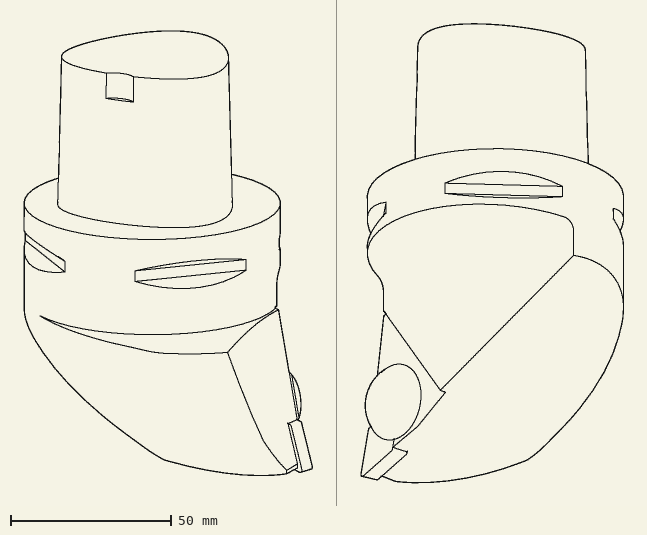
import cadquery as cq
import math


shank_height = 48.0
shank_base_radius = 27.3
shank_taper = 0.025
lobe_offset = 2.3
shank_outline_points = 36
keyway_width = 9.6
keyway_depth = 1.9
keyway_height = 8.2

flange_radius = 80.0 / 2
flange_height = 31.0
groove_center_z = -12.0
groove_floor_width = 3.5
groove_mouth_width = 8.8
groove_depth = 4.5
groove_angles = [45, 135, 225, 315]

relief_y = 8.0
relief_start_z = -20.7
relief_slope = 5
relief_fillet = 4.0

tip = cq.Vector(55.5, 0.3, -80.4)
top_cone_angle = 15.5
side_angle = 13.8
side_start_x = 40.6
heel_angle = 29.4
heel_corner = (28.9, -70.9)
clearance_angle = 17
clearance_tilt = 1.3
seat_side_slope = 18
seat_side_start = (49.0, -65.3)
swell_start = (-24.7, -31.4)
swell_left_end = (-21.8, -33.8)
swell_left_mid = (-7.2, -41.7)
swell_depth = 45.2
swell_flat = (12.2, 18.3)
swell_corner_mid = (22.9, -44.7)
swell_corner_end = (26.5, -43.4)
swell_right_mid = (42.1, -32.1)
swell_right_end = (52.7, -13.5)
far = 256

insert_edge = 15.9
insert_angle = 52
insert_thickness = 6.4
nose_radius = 0.8
rake_normal = cq.Vector(0.0975, 1, -0.0925)
rake_wall = [(15.4, -64), (39.0, -30.7)]

dome_center = (38.4, -60.2)
dome_radius = 12.0
dome_height = 7.4
dome_overhang = 0.8

diagonal = cq.Vector(-math.sqrt(0.5), 0, math.sqrt(0.5))
diagonal = diagonal - rake_normal * (diagonal.dot(rake_normal) / rake_normal.dot(rake_normal))
rake_plane = cq.Plane(origin=tip, xDir=diagonal, normal=rake_normal)


def shank_wire(radius, z):
    """Closed three-lobed outline with one lobe toward +Y."""
    points = []
    for i in range(shank_outline_points):
        t = 2 * math.pi * i / shank_outline_points
        x = radius * math.sin(t) - lobe_offset * math.sin(2 * t)
        y = radius * math.cos(t) + lobe_offset * math.cos(2 * t)
        points.append(cq.Vector(x, y, z))
    return cq.Wire.assembleEdges([cq.Edge.makeSpline(points, periodic=True)])


def make_shank():
    top_radius = shank_base_radius - shank_taper * shank_height
    base = shank_wire(shank_base_radius, 0)
    top = shank_wire(top_radius, shank_height)
    shank = cq.Workplane(cq.Solid.makeLoft([base, top]))
    key_radius = ((keyway_width / 2) ** 2 + keyway_depth ** 2) / (2 * keyway_depth)
    key_y = -(top_radius - lobe_offset) + keyway_depth - key_radius
    keyway = (
        cq.Workplane("XY", origin=(0, key_y, shank_height - keyway_height))
        .circle(key_radius)
        .extrude(keyway_height)
    )
    return shank.cut(keyway)


def make_groove(angle):
    """Straight groove with sloping flanks, cut across the flange rim."""
    floor = flange_radius - groove_depth
    mouth = floor + 2 * groove_depth
    floor_half = groove_floor_width / 2
    mouth_half = groove_mouth_width - floor_half
    profile = [
        (floor, groove_center_z - floor_half),
        (mouth, groove_center_z - mouth_half),
        (mouth, groove_center_z + mouth_half),
        (floor, groove_center_z + floor_half),
    ]
    groove = cq.Workplane("XZ").polyline(profile).close().extrude(flange_radius, both=True)
    return groove.rotate((0, 0, 0), (0, 0, 1), angle)


def make_flange():
    flange = cq.Workplane("XY").circle(flange_radius).extrude(-flange_height)
    for angle in groove_angles:
        flange = flange.cut(make_groove(angle))
    return flange


def head_outline():
    """Plan of the head: the flange circle swollen toward -Y and the tip."""
    swell = (
        cq.Workplane("XY", origin=(0, 0, -flange_height))
        .moveTo(0, 0)
        .lineTo(*swell_start)
        .lineTo(*swell_left_end)
        .threePointArc(swell_left_mid, (swell_flat[0], -swell_depth))
        .lineTo(swell_flat[1], -swell_depth)
        .threePointArc(swell_corner_mid, swell_corner_end)
        .threePointArc(swell_right_mid, swell_right_end)
        .lineTo(swell_right_end[0], relief_y)
        .lineTo(0, relief_y)
        .close()
        .extrude(-far)
    )
    core = cq.Workplane("XY", origin=(0, 0, -flange_height)).circle(flange_radius).extrude(-far)
    return core.union(swell)


def head_side_profile():
    """X-Z silhouette of the head, extruded along Y."""
    seat_x, seat_z = seat_side_start
    corner_x, corner_z = heel_corner
    side = math.tan(math.radians(seat_side_slope))
    fall = math.tan(math.radians(clearance_angle))
    base_z = (corner_z - fall * (seat_x + side * seat_z - corner_x)) / (1 - fall * side)
    base_x = seat_x + side * (seat_z - base_z)
    heel_z = corner_z + (corner_x + flange_radius) * math.tan(math.radians(heel_angle))
    kink_x = side_start_x + (-flange_height - seat_z) * math.tan(math.radians(side_angle))
    points = [
        (-flange_radius, -flange_height),
        (-flange_radius, heel_z),
        heel_corner,
        (base_x, base_z),
        (kink_x, seat_z),
        (side_start_x, -flange_height),
    ]
    return cq.Workplane("XZ").polyline(points).close().extrude(far, both=True)


def make_clearance_relief():
    """Space under the front clearance face, which rises toward -Y."""
    corner_x, corner_z = heel_corner
    under = cq.Workplane("XY").rect(far, far).extrude(-far)
    under = under.rotate((0, 0, 0), (1, 0, 0), -clearance_tilt)
    under = under.rotate((0, 0, 0), (0, 1, 0), clearance_angle)
    return under.translate((corner_x, 0, corner_z))


def make_head():
    drop = (far - flange_radius) * math.tan(math.radians(top_cone_angle))
    cone_profile = [
        (0, -flange_height),
        (flange_radius, -flange_height),
        (far, -flange_height - drop),
        (0, -flange_height - drop),
    ]
    cone = cq.Workplane("XZ").polyline(cone_profile).close().revolve(360, (0, 0), (0, 1))
    head = head_outline().intersect(head_side_profile()).intersect(cone)
    return head.cut(make_clearance_relief())


def make_relief():
    """Space in front of the +Y face, with a sloping roof and a rounded inner corner."""
    roof_rise = (far - relief_y) * math.tan(math.radians(relief_slope))
    profile = [
        (relief_y, -far),
        (relief_y, relief_start_z),
        (far, relief_start_z + roof_rise),
        (far, -far),
    ]
    relief = cq.Workplane("YZ").polyline(profile).close().extrude(far, both=True)
    corner = cq.selectors.NearestToPointSelector((0, relief_y, relief_start_z))
    return relief.edges(corner).fillet(relief_fillet)


def make_rake_relief():
    """Space above the rake plane, on the tip side of the step."""
    above = cq.Workplane(rake_plane).rect(far, far).extrude(far)
    (low_x, low_z), (high_x, high_z) = rake_wall
    run = high_x - low_x
    rise = high_z - low_z
    wall = [
        (low_x - run, low_z - rise),
        (high_x, high_z),
        (far, high_z),
        (far, low_z - rise),
    ]
    zone = cq.Workplane("XZ").polyline(wall).close().extrude(far, both=True)
    return above.intersect(zone)


def make_clamp_dome():
    """Spherical cap standing on the rake plane, trimmed close to the side of the head."""
    x, z = dome_center
    rise = rake_normal.x * (tip.x - x) + rake_normal.z * (tip.z - z)
    local = rake_plane.toLocalCoords(cq.Vector(x, tip.y + rise, z))
    sphere_radius = (dome_radius ** 2 + dome_height ** 2) / (2 * dome_height)
    half_angle = math.asin(dome_radius / sphere_radius) / 2
    sphere_z = dome_height - sphere_radius
    dome = (
        cq.Workplane(rake_plane)
        .center(local.x, local.y)
        .transformed(rotate=(90, 0, 0))
        .moveTo(0, 0)
        .lineTo(dome_radius, 0)
        .threePointArc(
            (sphere_radius * math.sin(half_angle), sphere_z + sphere_radius * math.cos(half_angle)),
            (0, dome_height),
        )
        .close()
        .revolve(360, (0, 0), (0, 1))
    )
    return dome.intersect(head_side_profile().translate((dome_overhang, 0, 0)))


def insert_blank():
    half_angle = math.radians(insert_angle / 2)
    along = insert_edge * math.cos(half_angle)
    across = insert_edge * math.sin(half_angle)
    rhombus = [(0, 0), (along, across), (2 * along, 0), (along, -across)]
    blank = cq.Workplane(rake_plane).polyline(rhombus).close().extrude(-insert_thickness)
    return blank.edges(cq.selectors.ParallelDirSelector(rake_normal)).fillet(nose_radius)


def make_body():
    body = make_flange().union(make_head()).cut(make_relief())
    body = body.cut(make_rake_relief()).cut(insert_blank())
    return body.union(make_shank()).union(make_clamp_dome())


body = make_body()
insert = insert_blank()

result = cq.Compound.makeCompound([body.solids().val(), insert.solids().val()])